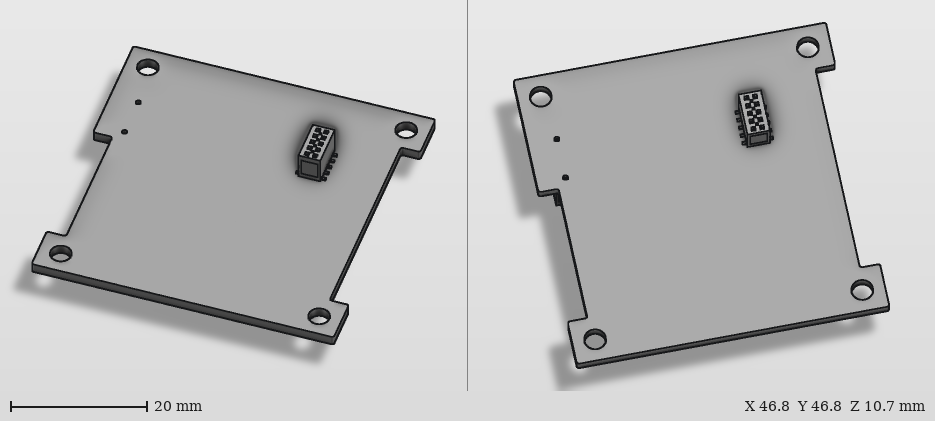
import cadquery as cq

BOARD_SIZE = 46.8
BOARD_THICKNESS = 1.6
CORNER_RADIUS = 0.4
MOUNT_HOLE_DIAMETER = 3.2
MOUNT_HOLE_SPACING = 40.0

NOTCH_DEPTH = 3.0
NOTCH_START_Y = -16.4
LEFT_NOTCH_END_Y = 4.9
RIGHT_NOTCH_END_Y = 16.4

PITCH = 1.27
OVERALL_HEIGHT = 10.742
CONNECTOR_HEIGHT = (OVERALL_HEIGHT - BOARD_THICKNESS) / 2
HOUSING_WIDTH = 3.38
HOUSING_EXTRA_LENGTH = 0.25
LEAD_SPAN = 4.6
LEAD_WIDTH = 0.4
LEAD_THICKNESS = 0.2

TOP_ROWS = 5
TOP_CENTER = (9.77, 9.17)
BOTTOM_ROWS = 7
BOTTOM_CENTER = (-19.05, 9.63)

BLOCK_WIDTH = 2 * PITCH
BLOCK_BASE = 0.82
BLOCK_HEIGHT = 2.75
HOUSING_END_WALL = 0.08
BLOCK_TOP = BLOCK_BASE + BLOCK_HEIGHT

SOCKET_SIZE = 0.6
SOCKET_DEPTH = CONNECTOR_HEIGHT - BLOCK_TOP
LEDGE_WIDTH = 0.2
LEDGE_DROP = 0.2
VENT_DIAMETER = 0.38

PEG_DIAMETER = 0.76
PEG_LENGTH = 1.1
PEG_CHAMFER = 0.3
PEG_SPACING = (BOTTOM_ROWS - 2) * PITCH


def housing_length(rows):
    return rows * PITCH + HOUSING_EXTRA_LENGTH


def plane_at(height):
    return cq.Workplane("XY").workplane(offset=height)


def make_board():
    board = cq.Workplane("XY").rect(BOARD_SIZE, BOARD_SIZE).extrude(BOARD_THICKNESS)
    for side, notch_end_y in ((-1, LEFT_NOTCH_END_Y), (1, RIGHT_NOTCH_END_Y)):
        notch = (
            cq.Workplane("XY")
            .center(side * BOARD_SIZE / 2, (NOTCH_START_Y + notch_end_y) / 2)
            .rect(2 * NOTCH_DEPTH, notch_end_y - NOTCH_START_Y)
            .extrude(BOARD_THICKNESS)
        )
        board = board.cut(notch)
    board = board.edges("|Z").fillet(CORNER_RADIUS)
    mount_holes = (
        cq.Workplane("XY")
        .rarray(MOUNT_HOLE_SPACING, MOUNT_HOLE_SPACING, 2, 2)
        .circle(MOUNT_HOLE_DIAMETER / 2)
        .extrude(BOARD_THICKNESS)
    )
    peg_holes = (
        cq.Workplane("XY")
        .center(*BOTTOM_CENTER)
        .rarray(1, PEG_SPACING, 1, 2)
        .circle(PEG_DIAMETER / 2)
        .extrude(BOARD_THICKNESS)
    )
    return board.cut(mount_holes).cut(peg_holes)


def make_contact_block(rows):
    block_length = housing_length(rows) - 2 * HOUSING_END_WALL
    return plane_at(BLOCK_BASE).rect(BLOCK_WIDTH, block_length).extrude(BLOCK_HEIGHT)


def make_socket_openings(rows):
    """Square sockets with a sunken ledge on their inner side, and round vents between the rows."""
    sockets = (
        plane_at(BLOCK_TOP)
        .rarray(PITCH, PITCH, 2, rows)
        .rect(SOCKET_SIZE, SOCKET_SIZE)
        .extrude(SOCKET_DEPTH)
    )
    ledge_spacing = PITCH - SOCKET_SIZE + LEDGE_WIDTH
    ledges = (
        plane_at(BLOCK_TOP)
        .rarray(ledge_spacing, PITCH, 2, rows)
        .rect(LEDGE_WIDTH, SOCKET_SIZE)
        .extrude(SOCKET_DEPTH - LEDGE_DROP)
    )
    vents = (
        plane_at(BLOCK_TOP)
        .rarray(1, PITCH, 1, rows - 1)
        .circle(VENT_DIAMETER / 2)
        .extrude(SOCKET_DEPTH)
    )
    return sockets.cut(ledges).union(vents)


def make_housing(rows):
    """Housing with its leads, standing on Z = 0 with the mating face up."""
    shell = (
        plane_at(LEAD_THICKNESS)
        .rect(HOUSING_WIDTH, housing_length(rows))
        .extrude(CONNECTOR_HEIGHT - LEAD_THICKNESS)
    )
    leads = (
        cq.Workplane("XY")
        .rarray(1, PITCH, 1, rows)
        .rect(LEAD_SPAN, LEAD_WIDTH)
        .extrude(LEAD_THICKNESS)
    )
    return shell.union(leads).cut(make_socket_openings(rows)).cut(make_contact_block(rows))


def make_pegs():
    """Pegs below a housing, reaching from its base into the board."""
    return (
        plane_at(LEAD_THICKNESS)
        .rarray(1, PEG_SPACING, 1, 2)
        .circle(PEG_DIAMETER / 2)
        .extrude(-(LEAD_THICKNESS + PEG_LENGTH))
        .faces("<Z")
        .chamfer(PEG_CHAMFER)
    )


def place_on_top(body):
    return body.translate((*TOP_CENTER, BOARD_THICKNESS))


def place_underneath(body):
    """Turn the mating face down and hang the body under the board."""
    return body.rotate((0, 0, 0), (0, 1, 0), 180).translate((*BOTTOM_CENTER, 0))


board = make_board()
top_housing = place_on_top(make_housing(TOP_ROWS))
top_block = place_on_top(make_contact_block(TOP_ROWS))
bottom_housing = place_underneath(make_housing(BOTTOM_ROWS).union(make_pegs()))
bottom_block = place_underneath(make_contact_block(BOTTOM_ROWS))

result = cq.Compound.makeCompound(
    [board.val(), top_housing.val(), top_block.val(), bottom_housing.val(), bottom_block.val()]
)